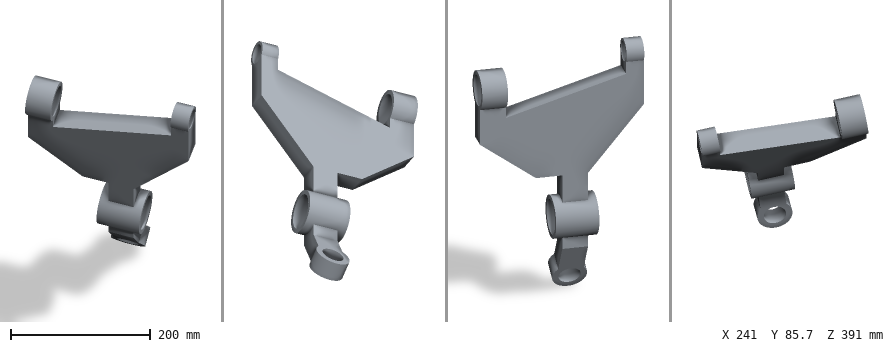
import cadquery as cq
import math

width = 241.0
height = 391.0
plate_thickness = 32.0

left_eye_length = 38.0
left_eye_outer = 58.0
left_eye_bore = 45.5
left_eye_top = 362.3
right_eye_length = 26.0
right_eye_outer = 38.0
right_eye_bore = 29.0
left_eye_z = left_eye_top - left_eye_outer / 2
right_eye_z = height - right_eye_outer / 2

stem_x = 140.0
stem_width = 38.0
hub_length = 63.7
hub_outer = 63.7
hub_bore = 51.0
hub_z = 124.3

left_notch_z = 293.0
right_notch_z = 343.0
left_corner_z = 255.0
right_corner_z = 293.0
plate_bottom_z = 194.2
plate_bottom_x = 82.0

bend_z = 79.5
bend_angle = 30.0
arm_eye_outer = 51.2
arm_eye_bore = 32.5

half_thickness = plate_thickness / 2
stem_left = stem_x - stem_width / 2
stem_right = stem_x + stem_width / 2
sine = math.sin(math.radians(bend_angle))
cosine = math.cos(math.radians(bend_angle))
arm_thickness = plate_thickness * cosine
arm_reach = bend_z / cosine - arm_eye_outer / 2


def x_cylinder(start_x, center_z, length, diameter):
    """Cylinder along +X, centred on Y = 0."""
    return cq.Workplane("YZ", origin=(start_x, 0, center_z)).circle(diameter / 2).extrude(length)


def make_plate():
    """Flat plate with two uprights that end on the eye axes and a stem ending on the hub axis."""
    outline = [
        (0, left_eye_z),
        (left_eye_length, left_eye_z),
        (left_eye_length, left_notch_z),
        (width - right_eye_length, right_notch_z),
        (width - right_eye_length, right_eye_z),
        (width, right_eye_z),
        (width, right_corner_z),
        (stem_right, plate_bottom_z),
        (stem_right, hub_z),
        (stem_left, hub_z),
        (stem_left, plate_bottom_z),
        (plate_bottom_x, plate_bottom_z),
        (0, left_corner_z),
    ]
    return cq.Workplane("XZ").polyline(outline).close().extrude(half_thickness, both=True)


def make_arm():
    """Stem below the hub, bent at bend_z and ending square across the arm eye's axis."""
    front_end = (-half_thickness + arm_reach * sine, bend_z - arm_reach * cosine)
    back_end = (front_end[0] + arm_thickness * cosine, front_end[1] + arm_thickness * sine)
    profile = [
        (-half_thickness, hub_z),
        (-half_thickness, bend_z),
        front_end,
        back_end,
        (half_thickness, bend_z),
        (half_thickness, hub_z),
    ]
    return cq.Workplane("YZ", origin=(stem_left, 0, 0)).polyline(profile).close().extrude(stem_width)


def arm_cylinder(diameter):
    """Cylinder through the arm thickness, on the arm eye's axis."""
    plane = cq.Plane(
        origin=(stem_x, -half_thickness + arm_reach * sine, bend_z - arm_reach * cosine),
        xDir=(1, 0, 0),
        normal=(0, cosine, sine),
    )
    return cq.Workplane(plane).circle(diameter / 2).extrude(arm_thickness)


x_rings = [
    (0, left_eye_z, left_eye_length, left_eye_outer, left_eye_bore),
    (width - right_eye_length, right_eye_z, right_eye_length, right_eye_outer, right_eye_bore),
    (stem_x - hub_length / 2, hub_z, hub_length, hub_outer, hub_bore),
]

body = make_plate().union(make_arm()).union(arm_cylinder(arm_eye_outer))
for start_x, axis_z, length, outer, bore in x_rings:
    body = body.union(x_cylinder(start_x, axis_z, length, outer))

for start_x, axis_z, length, outer, bore in x_rings:
    body = body.cut(x_cylinder(start_x, axis_z, length, bore))
result = body.cut(arm_cylinder(arm_eye_bore))